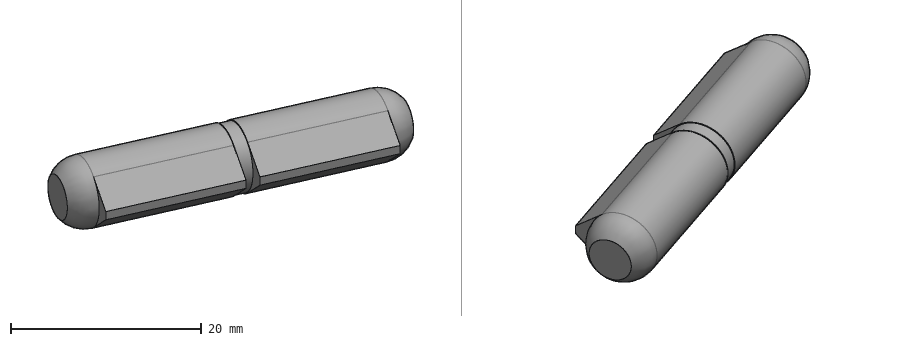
import cadquery as cq
import math

total_length = 40.0
barrel_diameter = 8.0
ring_diameter = 7.8
ring_length = 1.6
cap_length = 3.0
cap_face_diameter = 5.0
nose_reach = 5.7
nose_flat_height = 1.0

barrel_radius = barrel_diameter / 2
ring_radius = ring_diameter / 2
cap_face_radius = cap_face_diameter / 2
half_ring = ring_length / 2
half_length = total_length / 2
barrel_end = half_length - cap_length

cap_step = barrel_radius - cap_face_radius
cap_arc_radius = (cap_step**2 + cap_length**2) / (2 * cap_step)

corner_height = nose_flat_height / 2
corner_distance = math.hypot(nose_reach, corner_height)
tangent_angle = math.atan2(corner_height, nose_reach) + math.acos(barrel_radius / corner_distance)
tangent_x = barrel_radius * math.cos(tangent_angle)
tangent_z = barrel_radius * math.sin(tangent_angle)


def barrel(y_start, y_end):
    """Drop-shaped barrel between two stations along the hinge axis."""
    return (
        cq.Workplane("XZ", origin=(0, y_end, 0))
        .moveTo(tangent_x, tangent_z)
        .threePointArc((-barrel_radius, 0), (tangent_x, -tangent_z))
        .lineTo(nose_reach, -corner_height)
        .lineTo(nose_reach, corner_height)
        .close()
        .extrude(y_end - y_start)
    )


def core():
    """Turned body with the spacer ring between the barrels and a convex cap at each end."""
    return (
        cq.Workplane("XY")
        .moveTo(0, -half_length)
        .lineTo(cap_face_radius, -half_length)
        .radiusArc((barrel_radius, -barrel_end), -cap_arc_radius)
        .lineTo(barrel_radius, -half_ring)
        .lineTo(ring_radius, -half_ring)
        .lineTo(ring_radius, half_ring)
        .lineTo(barrel_radius, half_ring)
        .lineTo(barrel_radius, barrel_end)
        .radiusArc((cap_face_radius, half_length), -cap_arc_radius)
        .lineTo(0, half_length)
        .close()
        .revolve(360, (0, 0, 0), (0, 1, 0))
    )


result = core()
for y_start, y_end in ((-barrel_end, -half_ring), (half_ring, barrel_end)):
    result = result.union(barrel(y_start, y_end))